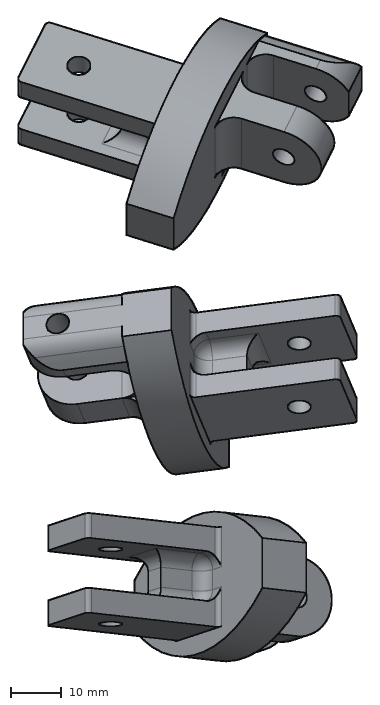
import cadquery as cq
import math

plate_thickness = 10.0
plate_width = 50.0
plate_height = 28.0
plate_end_height = 10.0

fork_length = 30.0
fork_width = 16.0
fork_height = 20.0
fork_gap = 10.0
fork_corner_radius = 1.0
web_length = 10.0
web_width = 5.0
web_fillet = 3.0
fork_hole_x = -20.0

overall_length = 61.0
lug_thickness = 7.0
lug_radius = 8.0
lug_flare = 4.0
middle_lug_y = 1.0
outer_lug_length = 20.0
outer_lug_inset = 0.3
outer_lug_edge_fillet = 4.4
lug_tip_x = overall_length - fork_length
lug_pin_x = lug_tip_x - lug_radius
outer_lug_y = plate_width / 2 - lug_thickness

hole_diameter = 4.6


def box(x0, x1, y0, y1, z0, z1):
    """Axis-aligned box between the given limits."""
    return cq.Workplane("XY").box(x1 - x0, y1 - y0, z1 - z0, centered=False).translate((x0, y0, z0))


def lens(x_start, length, inset=0):
    """Plate outline in the YZ plane, lowered by inset above and below, extruded along +X."""
    y = plate_width / 2
    z = plate_end_height / 2 - inset
    crown = plate_height / 2 - inset
    return (
        cq.Workplane("YZ", origin=(x_start, 0, 0))
        .moveTo(-y, -z)
        .threePointArc((0, -crown), (y, -z))
        .lineTo(y, z)
        .threePointArc((0, crown), (-y, z))
        .close()
        .extrude(length)
    )


def root_flare(plane, root_x, side, outward, x_direction, radius, start, depth):
    """Concave fillet prism between a plate face at root_x and a wall at side."""
    x_end = root_x + x_direction * radius
    outer = side + outward * radius
    inset = radius * math.sqrt(0.5)
    return (
        cq.Workplane(plane)
        .workplane(offset=start)
        .moveTo(root_x, side)
        .lineTo(x_end, side)
        .threePointArc((x_end - x_direction * inset, outer - outward * inset), (root_x, outer))
        .close()
        .extrude(depth)
    )


def fork():
    """Slotted fork whose slot is rounded around the web and at the plate."""
    y = fork_width / 2
    z = fork_height / 2
    body = box(-fork_length, 0, -y, y, -z, z).edges("|Z and <X").fillet(fork_corner_radius)
    for sign in (-1, 1):
        body = body.union(root_flare("XY", 0, sign * y, sign, -1, fork_corner_radius, -z, fork_height))

    far_x = -2 * fork_length
    far_y = 2 * fork_width
    gap = fork_gap / 2
    front_slot = box(far_x, -web_length, -far_y, far_y, -gap, gap).edges(">X and |Y").fillet(web_fillet)
    body = body.cut(front_slot)
    side_slot = box(far_x, 0, web_width / 2, far_y, -gap, gap)
    side_slot = side_slot.edges("(>X and <Y) or (>X and |Y) or (<Y and |X)").fillet(web_fillet)
    body = body.cut(side_slot).cut(side_slot.mirror("XZ"))

    hole = cq.Workplane("XY").center(fork_hole_x, 0).circle(hole_diameter / 2).extrude(z, both=True)
    return body.cut(hole)


def lug(y_start):
    """Round-ended lug running from the plate to the pin axis."""
    straight = box(plate_thickness, lug_pin_x, y_start, y_start + lug_thickness, -lug_radius, lug_radius)
    end = (
        cq.Workplane("XZ", origin=(lug_pin_x, y_start, 0))
        .circle(lug_radius)
        .extrude(-lug_thickness)
    )
    return straight.union(end)


def side_flare(side, outward):
    """Fillet between the plate and one side wall of a lug."""
    return root_flare("XY", plate_thickness, side, outward, 1, lug_flare, -lug_radius, 2 * lug_radius)


def middle_lug():
    """Lug flared on both sides and underneath."""
    far_side = middle_lug_y + lug_thickness
    under_flare = root_flare(
        "XZ", plate_thickness, -lug_radius, -1, 1, lug_flare, -far_side, lug_thickness
    )
    return (
        lug(middle_lug_y)
        .union(side_flare(middle_lug_y, -1))
        .union(side_flare(far_side, 1))
        .union(under_flare)
    )


def outer_lug():
    """Lug cut square at its tip and trimmed just inside the plate outline, with its outer long edges rounded."""
    envelope = lens(plate_thickness, outer_lug_length, outer_lug_inset)
    envelope = envelope.edges("|X and >Y").fillet(outer_lug_edge_fillet)
    return lug(outer_lug_y).union(side_flare(outer_lug_y, -1)).intersect(envelope)


pin_hole = (
    cq.Workplane("XZ", origin=(lug_pin_x, 0, 0))
    .circle(hole_diameter / 2)
    .extrude(plate_width, both=True)
)
lugs = middle_lug().union(outer_lug()).cut(pin_hole)
result = lens(0, plate_thickness).union(fork()).union(lugs)